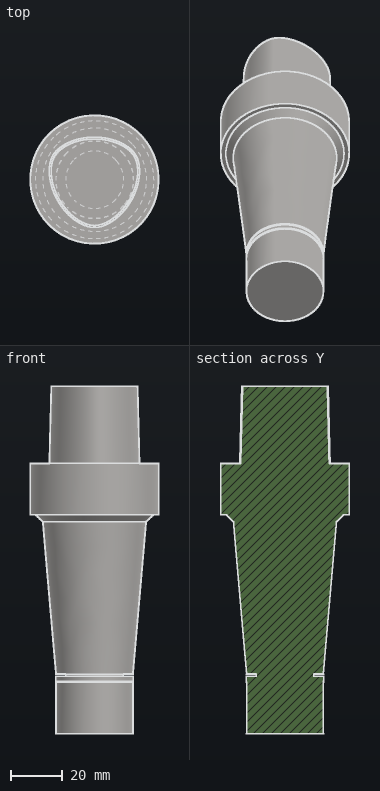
import cadquery as cq
import math

total_height = 135
collar_bottom = 20.0
collar_chamfer_top = 20.4
groove_bottom = 22.4
groove_top = 23.2
neck_top = 82.4
flange_bottom = 85
flange_top = 105.0

shank_diameter = 30.0
collar_diameter = 30.2
groove_diameter = 22.4
neck_bottom_diameter = shank_diameter
neck_top_diameter = 40.2
flange_diameter = 50
under_flange_diameter = 45.9

taper_length = total_height - flange_top
taper_rate = 1 / 20
polygon_base_width = 35.1
polygon_top_width = polygon_base_width - taper_rate * taper_length
polygon_eccentricity = 1.1
polygon_point_count = 36


def make_body():
    """Revolve the shank, collar, groove, conical neck and flange."""
    half_profile = [
        (0, 0),
        (shank_diameter / 2, 0),
        (shank_diameter / 2, collar_bottom),
        (collar_diameter / 2, collar_chamfer_top),
        (collar_diameter / 2, groove_bottom),
        (groove_diameter / 2, groove_bottom),
        (groove_diameter / 2, groove_top),
        (neck_bottom_diameter / 2, groove_top),
        (neck_top_diameter / 2, neck_top),
        (under_flange_diameter / 2, flange_bottom),
        (flange_diameter / 2, flange_bottom),
        (flange_diameter / 2, flange_top),
        (0, flange_top),
    ]
    return cq.Workplane("XZ").polyline(half_profile).close().revolve(360, (0, 0), (0, 1))


def polygon_wire(width, height):
    """Closed three-lobed curve of constant width, with one lobe pointing to -Y."""

    def curve_point(index):
        angle = 2 * math.pi * index / polygon_point_count
        support = width / 2 + polygon_eccentricity * math.sin(3 * angle)
        slope = 3 * polygon_eccentricity * math.cos(3 * angle)
        x = support * math.cos(angle) - slope * math.sin(angle)
        y = support * math.sin(angle) + slope * math.cos(angle)
        return cq.Vector(x, y, height)

    points = [curve_point(index) for index in range(polygon_point_count)]
    return cq.Wire.assembleEdges([cq.Edge.makeSpline(points, periodic=True)])


def make_polygon_taper():
    """Join the wide lower and narrow upper polygon with a ruled side."""
    base = polygon_wire(polygon_base_width, flange_top)
    top = polygon_wire(polygon_top_width, total_height)
    return cq.Workplane("XY").add(cq.Solid.makeLoft([base, top], True))


result = make_body().union(make_polygon_taper())